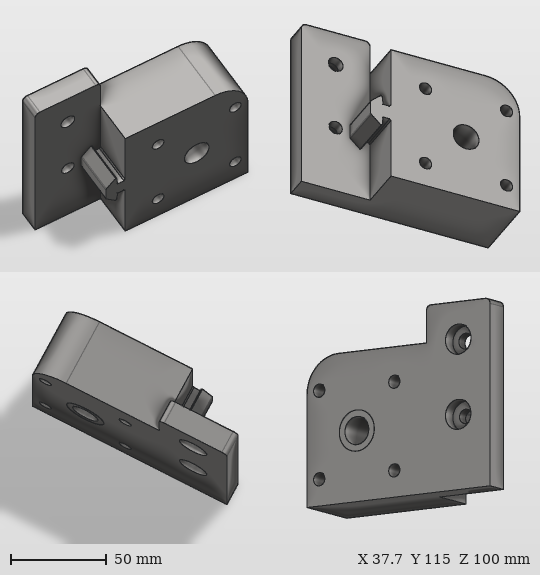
import cadquery as cq

length = 115.0
plate_thickness = 12.8
total_thickness = 37.7
body_height = 80.0
total_height = 100.0
arm_width = 40.0
arm_corner_radius = 3.0
body_corner_radius = 20.0

bolt_y = arm_width / 2
lower_bolt_z = body_height / 2
upper_bolt_z = body_height
lower_bolt_diameter = 7.6
upper_bolt_diameter = 8.4
bolt_head_diameter = 16.0
bolt_head_depth = 7.0

bore_y = 83.7
bore_z = 37.8
bore_diameter = 15.0
recess_diameter = 22.0
recess_depth = 0.1
screw_diameter = 7.0
screw_spacing = 47.2

tongue_tip_y = 28.2
tongue_shoulder_y = 34.2
tongue_neck_y = 35.3
shoulder_bevel = 0.8
tip_half_width = 4.0
head_half_width = 9.5
neck_half_width = 4.0
tip_radius = 1.0
root_radius = 0.8


def cylinder_along_x(y, z, diameter, depth):
    """Cylinder starting at the left face and running into the part."""
    return cq.Workplane("YZ").center(y, z).circle(diameter / 2).extrude(depth)


def make_plate():
    plate = (
        cq.Workplane("YZ")
        .rect(arm_width, total_height, centered=False)
        .extrude(plate_thickness)
    )
    return plate.edges("|X and >Z").fillet(arm_corner_radius)


def make_body():
    body = (
        cq.Workplane("YZ")
        .moveTo(arm_width, 0)
        .lineTo(length, 0)
        .lineTo(length, body_height)
        .lineTo(arm_width, body_height)
        .close()
        .extrude(total_thickness)
    )
    return body.edges("|X and >Y and >Z").fillet(body_corner_radius)


def make_tongue():
    """Tongue profile, flared at its root by concave fillets against the body."""
    upper_half = [
        (tongue_tip_y, tip_half_width),
        (tongue_shoulder_y, head_half_width),
        (tongue_shoulder_y + shoulder_bevel, head_half_width - shoulder_bevel),
        (tongue_neck_y, neck_half_width),
        (arm_width - root_radius, neck_half_width),
    ]
    lower_half = [(y, -z) for y, z in reversed(upper_half)]
    root_half_width = neck_half_width + root_radius
    tongue = (
        cq.Workplane("YZ", origin=(plate_thickness, 0, lower_bolt_z))
        .polyline(upper_half)
        .radiusArc((arm_width, root_half_width), root_radius)
        .lineTo(arm_width, -root_half_width)
        .radiusArc(lower_half[0], root_radius)
        .polyline(lower_half[1:], includeCurrent=True)
        .close()
        .extrude(total_thickness - plate_thickness)
    )
    return tongue.edges("|X and <Y").fillet(tip_radius)


part = make_plate().union(make_body()).union(make_tongue())

for bolt_z, bolt_diameter in (
    (lower_bolt_z, lower_bolt_diameter),
    (upper_bolt_z, upper_bolt_diameter),
):
    part = part.cut(cylinder_along_x(bolt_y, bolt_z, bolt_diameter, plate_thickness))
    part = part.cut(cylinder_along_x(bolt_y, bolt_z, bolt_head_diameter, bolt_head_depth))

part = part.cut(cylinder_along_x(bore_y, bore_z, bore_diameter, total_thickness))
part = part.cut(cylinder_along_x(bore_y, bore_z, recess_diameter, recess_depth))

for y_side in (-1, 1):
    for z_side in (-1, 1):
        screw_y = bore_y + y_side * screw_spacing / 2
        screw_z = bore_z + z_side * screw_spacing / 2
        part = part.cut(cylinder_along_x(screw_y, screw_z, screw_diameter, total_thickness))

result = part